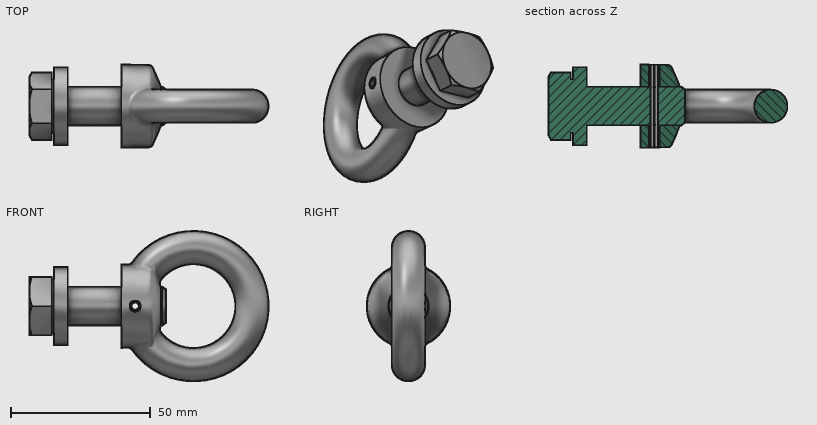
import cadquery as cq
import math

OVERALL_LENGTH = 85.7

HEX_ACROSS_FLATS = 21.0
HEX_SIDES = 6
HEX_LENGTH = 8.05
HEX_CHAMFER_ANGLE = 30.0
FACE_DIAMETER = 19.4
FACE_THICKNESS = 0.8
FLANGE_DIAMETER = 28.0
FLANGE_THICKNESS = 5.0

SHANK_DIAMETER = 14.0
SHANK_END = 48.9
SHANK_CHAMFER_LENGTH = 1.4
SHANK_CHAMFER_DEPTH = 1.0

COLLAR_START = 32.9
COLLAR_DIAMETER = 30.0
COLLAR_SHOULDER_X = 43.8
COLLAR_SHOULDER_DIAMETER = 29.6
NOSE_X = 47.05
NOSE_DIAMETER = 14.5
SHOULDER_FILLET = 2.0

RING_OUTER_DIAMETER = 53.9
BAR_DIAMETER = 12.0
RING_FILLET = 2.0
RING_END_ANGLE = 25.0

SEAM_MARGIN = 0.4

PIN_X = 37.9
PIN_DIAMETER = 4.0
PIN_BORE = 2.6
PIN_LENGTH = 29.65
PIN_SLOT_WIDTH = 0.4

hex_across_corners = HEX_ACROSS_FLATS / math.cos(math.pi / HEX_SIDES)
flange_start = HEX_LENGTH + FACE_THICKNESS
flange_end = flange_start + FLANGE_THICKNESS
ring_center_x = OVERALL_LENGTH - RING_OUTER_DIAMETER / 2
ring_center_radius = (RING_OUTER_DIAMETER - BAR_DIAMETER) / 2


def rod_along_x(diameter, start, end):
    return cq.Workplane("YZ").workplane(offset=start).circle(diameter / 2).extrude(end - start)


def rod_along_y(diameter, length):
    return cq.Workplane("XZ").center(PIN_X, 0).circle(diameter / 2).extrude(length / 2, both=True)


def revolve_about_x(profile):
    return profile.close().revolve(360, (0, 0, 0), (1, 0, 0))


def make_hex_head():
    """Hexagon with corners on +Y and -Y, its outer end trimmed by a cone."""
    prism = cq.Workplane("YZ").polygon(HEX_SIDES, hex_across_corners).extrude(HEX_LENGTH)
    flat_radius = HEX_ACROSS_FLATS / 2
    corner_radius = hex_across_corners / 2
    chamfer_length = (corner_radius - flat_radius) * math.tan(math.radians(HEX_CHAMFER_ANGLE))
    envelope = revolve_about_x(
        cq.Workplane("XY")
        .lineTo(0, flat_radius)
        .lineTo(chamfer_length, corner_radius)
        .lineTo(HEX_LENGTH, corner_radius)
        .lineTo(HEX_LENGTH, 0)
    )
    return prism.intersect(envelope)


def make_shank():
    radius = SHANK_DIAMETER / 2
    return revolve_about_x(
        cq.Workplane("XY")
        .moveTo(flange_start, 0)
        .lineTo(flange_start, radius)
        .lineTo(SHANK_END - SHANK_CHAMFER_LENGTH, radius)
        .lineTo(SHANK_END, radius - SHANK_CHAMFER_DEPTH)
        .lineTo(SHANK_END, 0)
    )


def make_bolt():
    """Headed bolt with its flange and hollow cross pin, all one solid."""
    face = rod_along_x(FACE_DIAMETER, HEX_LENGTH, flange_start)
    flange = rod_along_x(FLANGE_DIAMETER, flange_start, flange_end)
    pin = rod_along_y(PIN_DIAMETER, PIN_LENGTH)
    slot_height = PIN_DIAMETER / 2
    slot = (
        cq.Workplane("XY")
        .box(PIN_SLOT_WIDTH, PIN_LENGTH, slot_height)
        .translate((PIN_X, 0, -slot_height / 2))
    )
    body = make_hex_head().union(face).union(flange).union(make_shank()).union(pin)
    return body.cut(rod_along_y(PIN_BORE, PIN_LENGTH)).cut(slot)


def make_collar():
    collar = revolve_about_x(
        cq.Workplane("XY")
        .moveTo(COLLAR_START, 0)
        .lineTo(COLLAR_START, COLLAR_DIAMETER / 2)
        .lineTo(COLLAR_SHOULDER_X, COLLAR_SHOULDER_DIAMETER / 2)
        .lineTo(NOSE_X, NOSE_DIAMETER / 2)
        .lineTo(NOSE_X, 0)
    )
    shoulder = cq.selectors.RadiusNthSelector(-2)
    return collar.edges("%CIRCLE").edges(shoulder).fillet(SHOULDER_FILLET)


def make_ring():
    """Round bar bent into an open ring whose two ends lie inside the collar."""
    end_x = ring_center_x - ring_center_radius * math.cos(math.radians(RING_END_ANGLE))
    end_z = ring_center_radius * math.sin(math.radians(RING_END_ANGLE))
    end_plane = cq.Plane(
        origin=(end_x, 0, end_z),
        xDir=(end_x - ring_center_x, 0, end_z),
        normal=(end_z, 0, ring_center_x - end_x),
    )
    return (
        cq.Workplane(end_plane)
        .circle(BAR_DIAMETER / 2)
        .revolve(360 - 2 * RING_END_ANGLE, (-ring_center_radius, 0), (-ring_center_radius, -1))
    )


def is_seam(edge, side, half_width):
    """True for an edge where the bar on one Z side leaves the collar."""
    box = edge.BoundingBox()
    inner_z = min(side * box.zmin, side * box.zmax)
    within_bar = -half_width < box.ymin and box.ymax < half_width
    return within_bar and inner_z > SHANK_DIAMETER / 2 and COLLAR_START < box.xmin and box.xmax < NOSE_X


def make_eye():
    """Collar and ring blended together, bored for the shank and drilled for the pin."""
    joined = make_collar().union(make_ring())
    half_width = BAR_DIAMETER / 2 + SEAM_MARGIN
    for side in (1, -1):
        seams = [edge for edge in joined.edges().vals() if is_seam(edge, side, half_width)]
        joined = joined.newObject(seams).fillet(RING_FILLET)
    bore = rod_along_x(SHANK_DIAMETER, COLLAR_START, NOSE_X)
    return joined.cut(bore).cut(rod_along_y(PIN_DIAMETER, COLLAR_DIAMETER))


bolt = make_bolt()
eye = make_eye()
result = cq.Compound.makeCompound([bolt.val(), eye.val()])